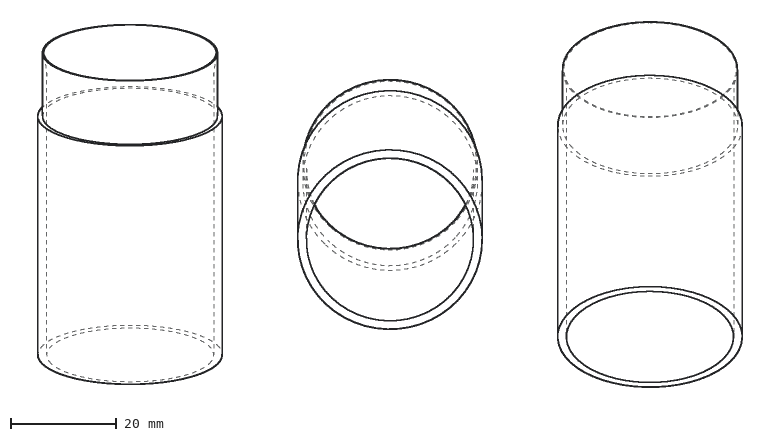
import cadquery as cq

total_height = 60.3
body_diameter = 34.95

spigot_diameter = 33.1
spigot_height = 12.65

bore_diameter = 31.6
lip_thickness = 0.25
flare_depth = 4.15

body_radius = body_diameter / 2
spigot_radius = spigot_diameter / 2
bore_radius = bore_diameter / 2
mouth_radius = spigot_radius - lip_thickness
shoulder_z = total_height - spigot_height
flare_z = total_height - flare_depth

wall_section = (
    cq.Workplane("XZ")
    .moveTo(-bore_radius, 0)
    .lineTo(-body_radius, 0)
    .lineTo(-body_radius, shoulder_z)
    .lineTo(-spigot_radius, shoulder_z)
    .lineTo(-spigot_radius, total_height)
    .lineTo(-mouth_radius, total_height)
    .lineTo(-bore_radius, flare_z)
    .close()
)

result = wall_section.revolve(360, (0, 0, 0), (0, 1, 0))